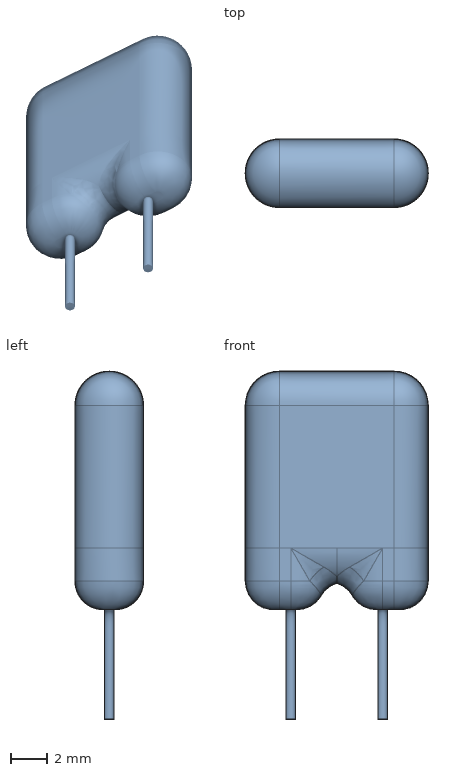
import cadquery as cq

total_height = 19.3
body_width = 10.15
body_thickness = 3.8
body_bottom = 6.08
web_axis_height = 9.5

lead_pitch = 5.1
lead_diameter = 0.55

edge_radius = body_thickness / 2
foot_radius = 1.58
crotch_radius = 1.39

cap_axis_height = total_height - edge_radius
side_axis_x = body_width / 2 - edge_radius
lead_x = lead_pitch / 2


def make_slab(height):
    """Slab with half-round sides, standing on the web axis level."""
    return (
        cq.Workplane("XY", origin=(0, 0, web_axis_height))
        .slot2D(body_width, body_thickness)
        .extrude(height)
    )


def make_round_bar(left_x, right_x, axis_height):
    """Horizontal bar along X, as thick as the body."""
    return (
        cq.Workplane("YZ", origin=(left_x, 0, axis_height))
        .circle(edge_radius)
        .extrude(right_x - left_x)
    )


def make_upper_body():
    """Slab with a half-round top and ball corners."""
    upper = make_slab(cap_axis_height - web_axis_height)
    upper = upper.union(make_round_bar(-side_axis_x, side_axis_x, cap_axis_height))
    for side in (-1, 1):
        corner = cq.Workplane("XY").sphere(edge_radius).translate((side * side_axis_x, 0, cap_axis_height))
        upper = upper.union(corner)
    return upper


def make_foot():
    """Right foot, standing around its lead, with a rounded bottom edge."""
    foot_length = side_axis_x - lead_x + body_thickness
    return (
        cq.Workplane("XY", origin=((side_axis_x + lead_x) / 2, 0, body_bottom))
        .slot2D(foot_length, body_thickness)
        .extrude(web_axis_height - body_bottom)
        .faces("<Z")
        .edges()
        .fillet(foot_radius)
    )


def make_lower_half():
    """Right foot and half of the round-bottomed web beside it, with a fillet in the crotch between them.

    The web first runs past the middle plane, and a slab stands on top, so that the fillet is complete
    before the excess is trimmed away. The two mirrored fillets then meet in a crease at the middle.
    """
    web = make_round_bar(-side_axis_x, lead_x, web_axis_height)
    crotch_zone = cq.selectors.BoxSelector(
        (0, -body_thickness, body_bottom + foot_radius / 2),
        (lead_x - lead_diameter / 2, body_thickness, web_axis_height - lead_diameter / 2),
    )
    joined = make_slab(body_thickness).union(web).union(make_foot())
    filleted = joined.edges(crotch_zone).fillet(crotch_radius)
    right_lower_space = cq.Workplane("XY").box(
        body_width, body_width, web_axis_height, centered=(False, True, False)
    )
    return filleted.intersect(right_lower_space, clean=False)


def make_body():
    """Upper body standing on the two mirrored lower halves."""
    lower_half = make_lower_half()
    lower = lower_half.union(lower_half.mirror("YZ"), clean=False)
    return make_upper_body().union(lower, clean=False)


def make_lead(side):
    """Round lead that ends flush against the flat bottom of its foot."""
    return (
        cq.Workplane("XY", origin=(side * lead_x, 0, 0))
        .circle(lead_diameter / 2)
        .extrude(body_bottom)
    )


body = make_body()
leads = [make_lead(side) for side in (-1, 1)]
result = cq.Compound.makeCompound([body.solids().val(), *[lead.val() for lead in leads]])